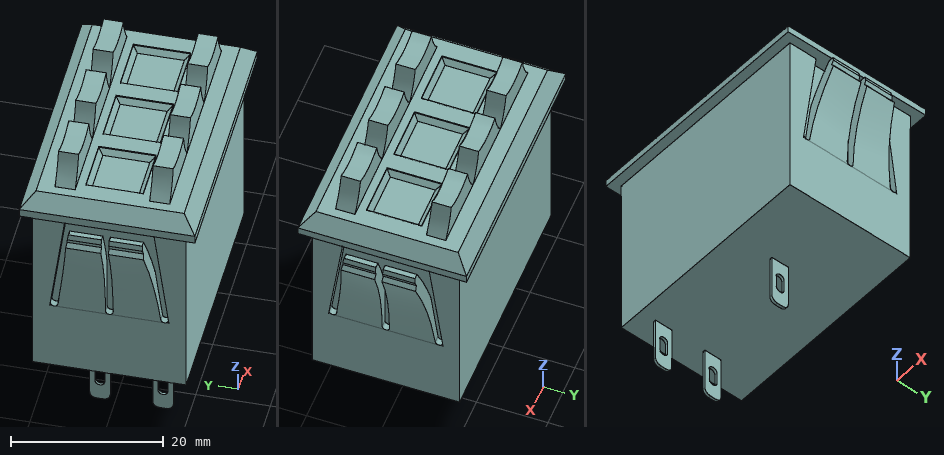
import cadquery as cq
import math

OVERALL_LENGTH = 39.82
OVERALL_HEIGHT = 42.3

BODY_LENGTH = 34.2
BODY_WIDTH = 20.65
BODY_HEIGHT = 26.65
BEZEL_LENGTH = 37.0
BEZEL_WIDTH = 23.6
RIM_HEIGHT = 1.2
BEVEL_HEIGHT = 2.05
BEVEL_RUN = 1.85
BEZEL_TOP = RIM_HEIGHT + BEVEL_HEIGHT

PITCH = 10.2
STATIONS = [-PITCH, 0, PITCH]

ROCKER_HEIGHT = 4.45
ROCKER_WIDTH = 2.7
ROCKER_OFFSET = 6.35
ROCKER_TOP_LENGTH = 6.1
ROCKER_SIDE_SAG = 0.3
ROCKER_TOP_SAG = 0.65

WINDOW_TOP = 7.7
WINDOW_FLOOR = 6.3
WINDOW_DEPTH = 0.85
WINDOW_LIP = 0.15

RECESS_DEPTH = 1.0
RECESS_TOP_HALF = 5.85
RECESS_BOTTOM_HALF = 8.0
CLIP_LENGTH = 16.2
CLIP_REACH = (OVERALL_LENGTH - BODY_LENGTH) / 2
CLIP_THICKNESS = 1.95
CLIP_TIP_DROP = 3.05
CLIP_TOP_DROP = 1.05
CATCH_TOP_REACH = 2.35
CATCH_NOSE_REACH = 2.6
CATCH_NOSE_DROP = 1.78
CATCH_NOTCH_REACH = 2.33
CATCH_NOTCH_DROP = 2.45
SLOT_WIDTH = 1.0

TERMINAL_LENGTH = OVERALL_HEIGHT - BODY_HEIGHT - BEZEL_TOP - ROCKER_HEIGHT
TERMINAL_WIDTH = 2.8
TERMINAL_THICKNESS = 0.42
TERMINAL_CORNER = 0.95
TERMINAL_PITCH = 4.25
TERMINAL_CENTER_Y = -2.15
LEFT_ROW_X = -13.35
RIGHT_ROW_X = 5.25
EYE_WIDTH = 1.3
EYE_LENGTH = 3.25
EYE_DROP = 3.95

OVERLAP = 0.42


def make_housing():
    """Box body under a wider bezel with bevelled edges."""
    body = cq.Workplane("XY").box(BODY_LENGTH, BODY_WIDTH, BODY_HEIGHT, centered=(True, True, False))
    body = body.translate((0, 0, -BODY_HEIGHT))
    rim = cq.Workplane("XY").rect(BEZEL_LENGTH, BEZEL_WIDTH).extrude(RIM_HEIGHT)
    bevel = (
        cq.Workplane("XY", origin=(0, 0, RIM_HEIGHT))
        .rect(BEZEL_LENGTH, BEZEL_WIDTH)
        .workplane(offset=BEVEL_HEIGHT)
        .rect(BEZEL_LENGTH - 2 * BEVEL_RUN, BEZEL_WIDTH - 2 * BEVEL_RUN)
        .loft(ruled=True)
    )
    return body.union(rim).union(bevel)


def make_window(x):
    """Cutter for one display window."""
    lip_plane = cq.Workplane("XY", origin=(x, 0, BEZEL_TOP - WINDOW_LIP))
    lip = lip_plane.rect(WINDOW_TOP, WINDOW_TOP).extrude(WINDOW_LIP)
    taper = (
        cq.Workplane("XY", origin=(x, 0, BEZEL_TOP - WINDOW_DEPTH))
        .rect(WINDOW_FLOOR, WINDOW_FLOOR)
        .workplane(offset=WINDOW_DEPTH - WINDOW_LIP)
        .rect(WINDOW_TOP, WINDOW_TOP)
        .loft(ruled=True)
    )
    return taper.union(lip)


def make_rocker(x, y):
    """Button with concave flanks and a dished top, its foot sunk into the bezel."""
    half_foot = PITCH / 2
    half_top = ROCKER_TOP_LENGTH / 2
    return (
        cq.Workplane("XZ", origin=(x, y, BEZEL_TOP))
        .moveTo(-half_foot, -OVERLAP)
        .lineTo(half_foot, -OVERLAP)
        .lineTo(half_foot, 0)
        .sagittaArc((half_top, ROCKER_HEIGHT), ROCKER_SIDE_SAG)
        .sagittaArc((-half_top, ROCKER_HEIGHT), ROCKER_TOP_SAG)
        .sagittaArc((-half_foot, 0), ROCKER_SIDE_SAG)
        .close()
        .extrude(ROCKER_WIDTH / 2, both=True)
    )


def recess_prism(inner_x, outer_x):
    """Trapezoidal prism on the clip outline, between two X positions."""
    return (
        cq.Workplane("YZ", origin=(inner_x, 0, 0))
        .polyline(
            [
                (-RECESS_TOP_HALF, 0),
                (RECESS_TOP_HALF, 0),
                (RECESS_BOTTOM_HALF, -CLIP_LENGTH),
                (-RECESS_BOTTOM_HALF, -CLIP_LENGTH),
            ]
        )
        .close()
        .extrude(outer_x - inner_x)
    )


def make_clip_slots(floor_x, outer_x):
    """Three round-ended slots: one down the middle and one along each sloping edge."""
    lean = math.atan2(RECESS_BOTTOM_HALF - RECESS_TOP_HALF, CLIP_LENGTH)
    radius = SLOT_WIDTH / 2
    bottom_z = radius - CLIP_LENGTH
    edge_y = RECESS_BOTTOM_HALF - radius * (1 / math.cos(lean) + math.tan(lean))
    slots = None
    for side in (-1, 0, 1):
        slot = (
            cq.Workplane("YZ", origin=(floor_x, 0, 0))
            .moveTo(-radius, CLIP_LENGTH)
            .lineTo(-radius, 0)
            .threePointArc((0, -radius), (radius, 0))
            .lineTo(radius, CLIP_LENGTH)
            .close()
            .extrude(outer_x - floor_x)
            .rotate((0, 0, 0), (1, 0, 0), side * math.degrees(lean))
            .translate((0, side * edge_y, bottom_z))
        )
        slots = slot if slots is None else slots.union(slot)
    return slots


def make_clip():
    """Pair of curved spring fingers on the +X end; both long faces share one arc centre."""
    face_x = BODY_LENGTH / 2
    rise = CLIP_LENGTH - CLIP_TIP_DROP
    outer_radius = (CLIP_REACH**2 + rise**2) / (2 * CLIP_REACH)
    inner_radius = outer_radius + CLIP_THICKNESS
    center_x = face_x + outer_radius

    def arc_point(radius, drop):
        height = CLIP_LENGTH - drop
        return (center_x - math.sqrt(radius**2 - height**2), -drop)

    mid_drop = (CLIP_LENGTH + CLIP_TIP_DROP) / 2
    leaf = (
        cq.Workplane("XZ")
        .moveTo(face_x, -CLIP_LENGTH)
        .threePointArc(arc_point(outer_radius, mid_drop), arc_point(outer_radius, CLIP_TIP_DROP))
        .lineTo(face_x + CATCH_NOTCH_REACH, -CATCH_NOTCH_DROP)
        .lineTo(face_x + CATCH_NOSE_REACH, -CATCH_NOSE_DROP)
        .lineTo(face_x + CATCH_TOP_REACH, -CLIP_TOP_DROP)
        .lineTo(*arc_point(inner_radius, CLIP_TOP_DROP))
        .threePointArc(arc_point(inner_radius, mid_drop), (face_x - CLIP_THICKNESS, -CLIP_LENGTH))
        .close()
        .extrude(RECESS_BOTTOM_HALF, both=True)
    )
    floor_x = face_x - RECESS_DEPTH
    outer_x = face_x + CLIP_REACH + OVERLAP
    outline = recess_prism(face_x - CLIP_THICKNESS, outer_x)
    return leaf.intersect(outline).cut(make_clip_slots(floor_x, outer_x))


def make_terminal(x, y):
    """Flat blade with rounded lower corners and an oblong eye."""
    blade = (
        cq.Workplane("XY", origin=(x, y, -BODY_HEIGHT - TERMINAL_LENGTH))
        .rect(TERMINAL_THICKNESS, TERMINAL_WIDTH)
        .extrude(TERMINAL_LENGTH + OVERLAP)
        .edges("|X and <Z")
        .fillet(TERMINAL_CORNER)
    )
    eye = (
        cq.Workplane("YZ", origin=(x, y, -BODY_HEIGHT - EYE_DROP))
        .slot2D(EYE_LENGTH, EYE_WIDTH, 90)
        .extrude(TERMINAL_THICKNESS, both=True)
    )
    return blade.cut(eye)


result = make_housing()

for station in STATIONS:
    result = result.cut(make_window(station))
    for rocker_y in (-ROCKER_OFFSET, ROCKER_OFFSET):
        result = result.union(make_rocker(station, rocker_y))

recess = recess_prism(BODY_LENGTH / 2 - RECESS_DEPTH, BODY_LENGTH / 2)
clip = make_clip()
result = result.cut(recess).cut(recess.mirror("YZ"))
result = result.union(clip).union(clip.mirror("YZ"))

result = result.union(make_terminal(LEFT_ROW_X, TERMINAL_CENTER_Y + TERMINAL_PITCH))
result = result.union(make_terminal(LEFT_ROW_X, TERMINAL_CENTER_Y - TERMINAL_PITCH))
result = result.union(make_terminal(RIGHT_ROW_X, TERMINAL_CENTER_Y))